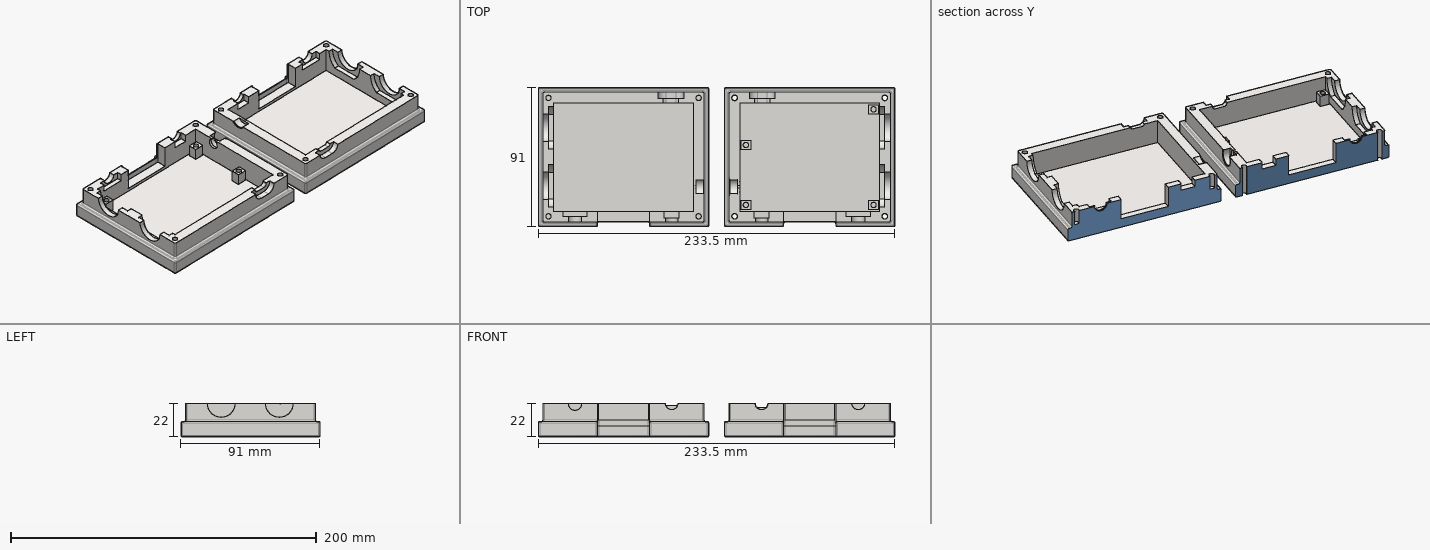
import cadquery as cq
total_length = 233.5
case_length = 111.5
case_width = 91.0
total_height = 22.0
half_offset = (total_length - case_length) / 2

plate_height = 10.0
wall_inset = 3.0
edge_radius = 1.0
wall_length = case_length - 2 * wall_inset
wall_width = case_width - 2 * wall_inset

cavity_length = 91.5
cavity_width = 71.0
floor_height = 5.0

seat_length = 34.0
window_length = 32.7
lip_thickness = 0.5
seat_height = 7.0
window_sill = plate_height + edge_radius

screw_diameter = 3.5
screw_spacing_x = 98.3
screw_spacing_y = 77.5
lid_screw_depth = 10.0

socket_places = (19.25, -18.8)
socket_radius = 9.0
ring_radius = 14.0
ring_recess_depth = 3.3
ring_recess_drop = 11.0

knob_x = 31.7
knob_radius = 4.32
knob_recess_length = 15.9
knob_recess_depth = 3.3
knob_axis_shift = 0.2
button_x = 31.5
button_radius = 4.08
button_recess_length = 9.8
button_recess_depth = 4.2
front_recess_drop = 5.0

port_x = 31.0
port_length = 10.3
port_corner = 1.98
pocket_margin = 3.3
pocket_depth = 4.0
lid_port_drop = 1.5
base_port_drop = 2.5

jack_y = -19.4
jack_radius = 5.48
jack_depth = 5.4
jack_axis_shift = 3.38
jack_chamfer = 0.5
jack_hole_radius = 3.5

post_length = 6.5
post_width = 5.8
post_height = 8.0
post_hole_diameter = 3.5
post_hole_depth = 3.5
post_x = 41.8
post_y = 31.3
middle_post_y = 8.0
post_places = ((post_x, post_y), (post_x, -post_y), (-post_x, -post_y), (-post_x, middle_post_y))

LID = -1
BASE = 1
clearance = 2.3


def block(length, width, bottom, top, x=0.0, y=0.0):
    """Box centred on (x, y) between two heights."""
    return cq.Workplane("XY").box(length, width, top - bottom).translate((x, y, (bottom + top) / 2))


def rod_x(radius, x_start, x_end, y, z):
    return cq.Workplane("YZ", origin=(x_start, y, z)).circle(radius).extrude(x_end - x_start)


def rod_y(radius, y_start, y_end, x, z):
    return cq.Workplane("XZ", origin=(x, y_start, z)).circle(radius).extrude(y_start - y_end)


def edges_near(x_half, y_low, y_high, z):
    """Selector for the edges lying wholly in a thin level slab at height z."""
    slack = 0.12
    return cq.selectors.BoxSelector(
        (-x_half - slack, y_low - slack, z - slack),
        (x_half + slack, y_high + slack, z + slack),
        boundingbox=True,
    )


def make_blank():
    """Plate with a gap at the front and the solid wall on it, all outer edges rounded."""
    gap = block(seat_length, 2 * wall_inset, 0, plate_height, y=-case_width / 2)
    plate = block(case_length, case_width, 0, plate_height).cut(gap)
    plate = plate.edges("|Z").fillet(edge_radius)
    plate = plate.faces("<Z").edges().fillet(edge_radius)
    wall = block(wall_length, wall_width, plate_height, total_height).edges("|Z").fillet(edge_radius)
    blank = plate.union(wall)
    root = edges_near(wall_length / 2, -wall_width / 2, wall_width / 2, plate_height)
    blank = blank.edges(root).fillet(edge_radius)
    back_edge = edges_near(case_length / 2, case_width / 2, case_width / 2, plate_height)
    return blank.edges(back_edge).fillet(edge_radius)


def cut_cavity_and_window(body):
    body = body.cut(block(cavity_length, cavity_width, floor_height, total_height))
    wall_front = -wall_width / 2
    seat_front = wall_front + lip_thickness
    seat_back = -cavity_width / 2
    seat = block(seat_length, seat_back - seat_front, seat_height, total_height, y=(seat_front + seat_back) / 2)
    window = block(window_length, 2 * lip_thickness, window_sill, total_height, y=wall_front)
    return body.cut(seat).cut(window)


def cut_screw_holes(body, bottom):
    corners = cq.Workplane("XY", origin=(0, 0, bottom)).rect(
        screw_spacing_x, screw_spacing_y, forConstruction=True)
    return body.cut(corners.vertices().circle(screw_diameter / 2).extrude(total_height - bottom))


def cut_sockets(body, end):
    """Two round sockets in the wall on the X side given by the sign of end."""
    inner_face = end * cavity_length / 2
    outer_face = end * wall_length / 2
    above_flat = block(case_length, case_width, total_height - ring_recess_drop, total_height)
    for y in socket_places:
        bore = rod_x(socket_radius, inner_face, outer_face, y, total_height)
        ring = rod_x(ring_radius, inner_face, inner_face + end * ring_recess_depth, y, total_height)
        body = body.cut(bore).cut(ring.intersect(above_flat))
    return body


def cut_front_bore(body, x, radius, axis_height, recess_length, recess_depth):
    inner_face = -cavity_width / 2
    bore = rod_y(radius, inner_face, -wall_width / 2, x, axis_height)
    recess = block(recess_length, recess_depth, total_height - front_recess_drop, total_height,
                   x, inner_face - recess_depth / 2)
    return body.cut(bore).cut(recess)


def rounded_slot(x, y_start, y_end, length, drop, corner):
    """Slot along Y, open at the mating face, with rounded bottom corners."""
    bottom = total_height - drop
    top = total_height + corner + clearance
    slot = block(length, y_end - y_start, bottom, top, x, (y_start + y_end) / 2)
    return slot.edges("|Y and <Z").fillet(corner)


def cut_port(body, x, drop):
    inner_face = cavity_width / 2
    outer_face = wall_width / 2
    port = rounded_slot(x, inner_face, outer_face, port_length, drop, port_corner)
    pocket = rounded_slot(x, outer_face - pocket_depth, outer_face, port_length + 2 * pocket_margin,
                          drop + pocket_margin, port_corner + pocket_margin)
    return body.cut(port).cut(pocket)


def cut_jack(body, end, axis_height):
    """Jack bore entering the wall on the X side given by the sign of end."""
    outer_face = end * wall_length / 2
    bore_end = outer_face - end * jack_depth
    bore = rod_x(jack_radius, bore_end, outer_face, jack_y, axis_height)
    mouth = cq.Workplane("YZ", origin=(outer_face, jack_y, axis_height)).circle(jack_radius + jack_chamfer)
    mouth = mouth.workplane(offset=-end * jack_chamfer).circle(jack_radius).loft()
    hole = rod_x(jack_hole_radius, end * cavity_length / 2, bore_end, jack_y, axis_height)
    return body.cut(bore).cut(mouth).cut(hole)


def make_half(kind, screw_bottom, port_drop):
    """Features shared by both halves; LID and BASE mirror each other in X."""
    body = cut_cavity_and_window(make_blank())
    body = cut_screw_holes(body, screw_bottom)
    body = cut_sockets(body, kind)
    body = cut_front_bore(body, kind * knob_x, knob_radius, total_height + kind * knob_axis_shift,
                          knob_recess_length, knob_recess_depth)
    body = cut_front_bore(body, -kind * button_x, button_radius, total_height,
                          button_recess_length, button_recess_depth)
    body = cut_port(body, -kind * port_x, port_drop)
    return cut_jack(body, -kind, total_height - kind * jack_axis_shift)


def add_posts(body):
    top = floor_height + post_height
    for x, y in post_places:
        post = block(post_length, post_width, floor_height, top, x, y)
        hole = cq.Workplane("XY", origin=(x, y, top)).circle(post_hole_diameter / 2).extrude(-post_hole_depth)
        body = body.union(post).cut(hole)
    return body


lid = make_half(LID, total_height - lid_screw_depth, lid_port_drop)
lid = lid.translate((-half_offset, 0, 0))

base = add_posts(make_half(BASE, 0, base_port_drop))
base = base.translate((half_offset, 0, 0))

result = cq.Compound.makeCompound([lid.val(), base.val()])